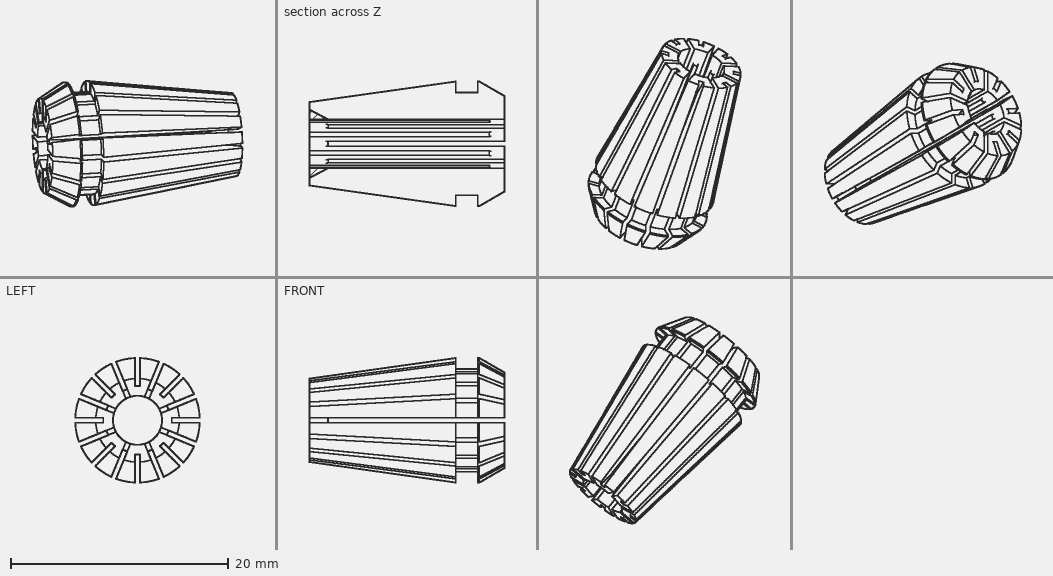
import cadquery as cq
import math

LENGTH = 18.0
MAX_DIAMETER = 11.5
MAX_RADIUS = MAX_DIAMETER / 2
BORE_RADIUS = 2.25

TAPER_LENGTH = 13.5
TAPER_ANGLE = 8.0
NECK_LENGTH = 2.0
NECK_RADIUS = 4.75
RIM_WIDTH = 0.16
FLANGE_ANGLE = 30.0

SLOTS_PER_SET = 8
SLOT_WIDTH = 0.45
SLOT_PITCH = 360.0 / SLOTS_PER_SET
BRIDGE_ANGLE = 28.0
NOSE_BRIDGE_RADIUS = 3.17
REAR_BRIDGE_RADIUS = 3.02
CUT_MARGIN = 1.0


def radial_drop(length, angle):
    """Radius lost along a cone of the given axial length and half angle."""
    return length * math.tan(math.radians(angle))


def bridge_length(end_radius):
    """Axial length over which a bridge floor slopes from its end radius down to the bore."""
    return (end_radius - BORE_RADIUS) / math.tan(math.radians(BRIDGE_ANGLE))


def make_body():
    """Revolve the bored collet blank about the X axis."""
    neck_end = TAPER_LENGTH + NECK_LENGTH
    rim_end = neck_end + RIM_WIDTH
    nose_radius = MAX_RADIUS - radial_drop(TAPER_LENGTH, TAPER_ANGLE)
    rear_radius = MAX_RADIUS - radial_drop(LENGTH - rim_end, FLANGE_ANGLE)
    profile = [
        (0, BORE_RADIUS),
        (0, nose_radius),
        (TAPER_LENGTH, MAX_RADIUS),
        (TAPER_LENGTH, NECK_RADIUS),
        (neck_end, NECK_RADIUS),
        (neck_end, MAX_RADIUS),
        (rim_end, MAX_RADIUS),
        (LENGTH, rear_radius),
        (LENGTH, BORE_RADIUS),
    ]
    return cq.Workplane("XY").polyline(profile).close().revolve(360, (0, 0, 0), (1, 0, 0))


def make_slot(profile, angle):
    """Radial slot cutter with the given (x, radius) profile, turned about X."""
    cutter = cq.Workplane("XY").polyline(profile).close().extrude(SLOT_WIDTH / 2, both=True)
    return cutter.rotate((0, 0, 0), (1, 0, 0), angle)


def cut_slots(body):
    """Cut both slot sets, each leaving a sloped bridge over the bore at its closed end."""
    outside = MAX_RADIUS + CUT_MARGIN
    before_nose = -CUT_MARGIN
    past_rear = LENGTH + CUT_MARGIN
    nose_bridge_end = bridge_length(NOSE_BRIDGE_RADIUS)
    rear_bridge_start = LENGTH - bridge_length(REAR_BRIDGE_RADIUS)
    rear_slot = [
        (before_nose, NOSE_BRIDGE_RADIUS),
        (0, NOSE_BRIDGE_RADIUS),
        (nose_bridge_end, BORE_RADIUS),
        (nose_bridge_end, 0),
        (past_rear, 0),
        (past_rear, outside),
        (before_nose, outside),
    ]
    nose_slot = [
        (before_nose, 0),
        (rear_bridge_start, 0),
        (rear_bridge_start, BORE_RADIUS),
        (LENGTH, REAR_BRIDGE_RADIUS),
        (past_rear, REAR_BRIDGE_RADIUS),
        (past_rear, outside),
        (before_nose, outside),
    ]
    for index in range(SLOTS_PER_SET):
        angle = index * SLOT_PITCH
        body = body.cut(make_slot(rear_slot, angle))
        body = body.cut(make_slot(nose_slot, angle + SLOT_PITCH / 2))
    return body


result = cut_slots(make_body())